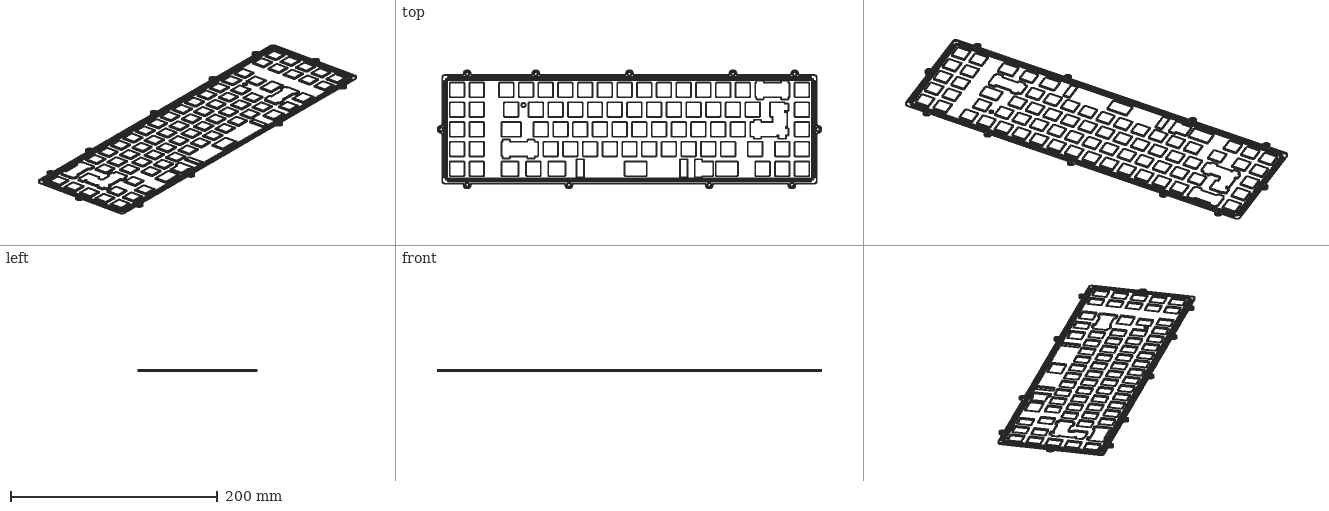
import math

import cadquery as cq

UNIT = 19.05
FIELD_COLUMNS = 18.5
FIELD_ROWS = 5
FIELD_X = FIELD_COLUMNS * UNIT / 2
FIELD_Y = FIELD_ROWS * UNIT / 2

THICKNESS = 1.5
SWITCH_SIZE = 14.0
OPENING_RADIUS = 0.75

SLOT_WIDTH = 1.0
SPRING_WIDTH = 1.0
RIM_WIDTH = 2.0
INNER_SLOT_X = FIELD_X + SLOT_WIDTH
INNER_SLOT_Y = FIELD_Y + SLOT_WIDTH
OUTER_SLOT_OFFSET = SLOT_WIDTH + SPRING_WIDTH + SLOT_WIDTH / 2
OUTER_SLOT_SETBACK = 1.0
BRIDGE_WIDTH = 1.0
LONG_SIDE_BRIDGE_X = 89.6

PLATE_X = INNER_SLOT_X + SPRING_WIDTH + SLOT_WIDTH + RIM_WIDTH
PLATE_Y = INNER_SLOT_Y + SPRING_WIDTH + SLOT_WIDTH + RIM_WIDTH
PLATE_CORNER_RADIUS = 3.0

TAB_RADIUS = 3.5
TAB_HOLE_DIAMETER = 3.5
TAB_FILLET = 1.0
LONG_SIDE_OVERHANG = 1.0
END_OVERHANG = 0.6825
BACK_TABS = [-156.9, -90.5, 0.0, 100.0, 159.7]
FRONT_TABS = [-156.9, -58.6, 77.1, 156.9]

PIN_HOLE_DIAMETER = 4.0
PIN_HOLE_CENTER = (-102.4, 23.5)

STABILIZER_WIDTH = 7.0
STABILIZER_SPREAD = 11.94
STABILIZER_REACH = 9.06
SPACE_STABILIZER_REACH_UP = 9.2
SHORT_REACH = 8.3


def run(first, count):
    """Centres, in units, of a run of neighbouring one-unit keys."""
    return [first + i for i in range(count)]


SWITCH_ROWS = {
    2: [-8.75, -7.75] + run(-6.25, 13) + [8.75],
    1: [-8.75, -7.75, -6.0] + run(-4.75, 12) + [7.5, 8.75],
    0: [-8.75, -7.75] + run(-4.5, 11) + [8.75],
    -1: [-8.75, -7.75] + run(-4.0, 10) + [6.375, 7.75, 8.75],
    -2: [-8.75, -7.75, -4.875, 3.875, 6.75, 7.75, 8.75],
}
WIDE_OPENINGS = [
    (2, 6.75, 7.75),
    (0, -6.125, -5.875),
    (0, 6.5, 7.125),
    (-1, -6.125, -5.0),
    (-2, -6.125, -6.0),
    (-2, -3.75, -3.625),
    (-2, 0.125, 0.5),
    (-2, 4.75, 5.125),
]
TALL_ENTER_COLUMN = 7.625
TALL_ENTER_ROW = 0.5
STABILIZED_KEYS = [(2, 7.25), (0, 7.125), (-1, -5.625)]
SPACE_ROW = -2
SPACE_BARS = [(0.125, 50.0), (0.5, 57.15)]


def block(x_min, x_max, y_min, y_max):
    """A rectangular prism through the full plate thickness."""
    prism = cq.Workplane().box(x_max - x_min, y_max - y_min, THICKNESS, (False, False, False))
    return prism.translate((x_min, y_min, 0))


def centered_block(x, y, length_x, length_y):
    return block(x - length_x / 2, x + length_x / 2, y - length_y / 2, y + length_y / 2).val()


def rounded_opening(x_min, x_max, y_min, y_max):
    return block(x_min, x_max, y_min, y_max).edges("|Z").fillet(OPENING_RADIUS).val()


def switch_opening(row, first, last):
    """One opening that spans the switches from column `first` to column `last`."""
    half = SWITCH_SIZE / 2
    y = row * UNIT
    return rounded_opening(first * UNIT - half, last * UNIT + half, y - half, y + half)


def stabilizer_opening(x, row, reach_up, reach_down):
    half = STABILIZER_WIDTH / 2
    y = row * UNIT
    return rounded_opening(x - half, x + half, y - reach_down, y + reach_up)


def switch_openings():
    cutters = [switch_opening(row, x, x) for row, columns in SWITCH_ROWS.items() for x in columns]
    cutters += [switch_opening(row, first, last) for row, first, last in WIDE_OPENINGS]
    cutters.append(switch_opening(TALL_ENTER_ROW, TALL_ENTER_COLUMN, TALL_ENTER_COLUMN))
    return cutters


def row_stabilizers():
    cutters = []
    for side in (-1, 1):
        for row, column in STABILIZED_KEYS:
            x = column * UNIT + side * STABILIZER_SPREAD
            cutters.append(stabilizer_opening(x, row, STABILIZER_REACH, STABILIZER_REACH))
        for column, spread in SPACE_BARS:
            x = column * UNIT + side * spread
            cutters.append(stabilizer_opening(x, SPACE_ROW, SPACE_STABILIZER_REACH_UP, SHORT_REACH))
    return cutters


def tall_enter_stabilizers():
    """The tall enter key has its stabilizers above and below the switch, turned a quarter turn."""
    half = STABILIZER_WIDTH / 2
    x = TALL_ENTER_COLUMN * UNIT
    cutters = []
    for side in (-1, 1):
        y = TALL_ENTER_ROW * UNIT + side * STABILIZER_SPREAD
        cutters.append(rounded_opening(x - STABILIZER_REACH, x + SHORT_REACH, y - half, y + half))
    return cutters


def outer_slots():
    """Four straight slots, one per side, that leave the corners solid."""
    x = FIELD_X + OUTER_SLOT_OFFSET
    y = FIELD_Y + OUTER_SLOT_OFFSET
    length_x = 2 * (FIELD_X - OUTER_SLOT_SETBACK)
    length_y = 2 * (FIELD_Y - OUTER_SLOT_SETBACK)
    cutters = []
    for side in (-1, 1):
        cutters.append(centered_block(0, side * y, length_x, SLOT_WIDTH))
        cutters.append(centered_block(side * x, 0, SLOT_WIDTH, length_y))
    return cutters


def inner_slots():
    """A rectangular ring slot broken by narrow bridges that carry the key field."""
    ring = cq.Workplane().rect(2 * INNER_SLOT_X, 2 * INNER_SLOT_Y).rect(2 * FIELD_X, 2 * FIELD_Y)
    ring = ring.extrude(THICKNESS)
    bridges = [centered_block(0, 0, 2 * PLATE_X, BRIDGE_WIDTH)]
    for side in (-1, 1):
        bridges.append(centered_block(side * LONG_SIDE_BRIDGE_X, 0, BRIDGE_WIDTH, 2 * PLATE_Y))
    return ring.val().cut(*bridges).Solids()


def round_hole(x, y, diameter):
    return cq.Workplane().center(x, y).circle(diameter / 2).extrude(THICKNESS).val()


def tab_places():
    """Centre, turning angle and overhang of every mounting tab."""
    x = PLATE_X + END_OVERHANG
    y = PLATE_Y + LONG_SIDE_OVERHANG
    places = [(tab_x, y, 0, LONG_SIDE_OVERHANG) for tab_x in BACK_TABS]
    places += [(tab_x, -y, 180, LONG_SIDE_OVERHANG) for tab_x in FRONT_TABS]
    places += [(-x, 0, 90, END_OVERHANG), (x, 0, -90, END_OVERHANG)]
    return places


def tab(x, y, angle, overhang):
    """A round ear blended into the rim by two concave fillets, drawn along +Y and then turned."""
    fillet_y = TAB_FILLET - overhang
    fillet_x = math.sqrt((TAB_RADIUS + TAB_FILLET) ** 2 - fillet_y**2)
    touch_y = fillet_y * TAB_RADIUS / (TAB_RADIUS + TAB_FILLET)
    root = block(-fillet_x, fillet_x, -overhang - RIM_WIDTH / 2, touch_y)
    fillets = cq.Workplane().pushPoints([(-fillet_x, fillet_y), (fillet_x, fillet_y)])
    root = root.cut(fillets.circle(TAB_FILLET).extrude(THICKNESS))
    ear = cq.Workplane().circle(TAB_RADIUS).extrude(THICKNESS)
    return ear.union(root).rotate((0, 0, 0), (0, 0, 1), angle).translate((x, y, 0))


def plate_blank():
    plate = cq.Workplane().box(2 * PLATE_X, 2 * PLATE_Y, THICKNESS, (True, True, False))
    plate = plate.edges("|Z").fillet(PLATE_CORNER_RADIUS)
    for place in tab_places():
        plate = plate.union(tab(*place))
    return plate.val()


def round_holes():
    cutters = [round_hole(x, y, TAB_HOLE_DIAMETER) for x, y, _, _ in tab_places()]
    cutters.append(round_hole(*PIN_HOLE_CENTER, PIN_HOLE_DIAMETER))
    return cutters


cutters = switch_openings() + row_stabilizers() + tall_enter_stabilizers()
cutters += outer_slots() + inner_slots() + round_holes()
result = cq.Workplane(plate_blank().cut(*cutters).Solids()[0])